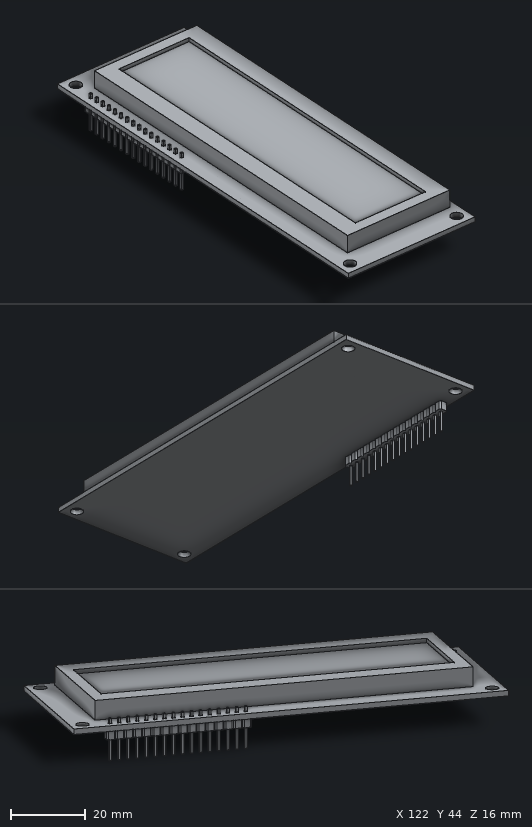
import cadquery as cq


OVERALL_HEIGHT = 16.0

BOARD_LENGTH = 122.0
BOARD_WIDTH = 44.0
BOARD_THICKNESS = 1.6
MOUNT_HOLE_DIAMETER = 3.5
MOUNT_HOLE_INSET = 3.5
PIN_HOLE_DIAMETER = 1.0

BEZEL_LENGTH = 106.0
BEZEL_WIDTH = 35.5
BEZEL_HEIGHT = 5.5
BEZEL_TOP_MARGIN = 2.2
WINDOW_LENGTH = 99.1
WINDOW_WIDTH = 24.3
WINDOW_DEPTH = 1.2

PIN_COUNT = 16
HEADER_LENGTH = 40.6
PIN_PITCH = HEADER_LENGTH / PIN_COUNT
BLOCK_GAP = 0.18
BLOCK_CHAMFER = 0.43
PIN_SIDE = 0.63
PIN_TOP = 1.5
PIN_TIP_CHAMFER = 0.18
FIRST_PIN_X = 11.0
PIN_ROW_Y = 2.6

BEZEL_CENTER = (
    BOARD_LENGTH / 2,
    BOARD_WIDTH - BEZEL_TOP_MARGIN - BEZEL_WIDTH / 2,
)
BLOCK_BOTTOM = -BOARD_THICKNESS - BLOCK_GAP - PIN_PITCH
PIN_BOTTOM = BEZEL_HEIGHT - OVERALL_HEIGHT
PIN_CENTERS = [(FIRST_PIN_X + i * PIN_PITCH, PIN_ROW_Y) for i in range(PIN_COUNT)]
MOUNT_HOLE_CENTERS = [
    (x, y)
    for x in (MOUNT_HOLE_INSET, BOARD_LENGTH - MOUNT_HOLE_INSET)
    for y in (MOUNT_HOLE_INSET, BOARD_WIDTH - MOUNT_HOLE_INSET)
]


def through_board(centers, diameter):
    """Cylinders that cut round holes through the board."""
    return (
        cq.Workplane("XY")
        .pushPoints(centers)
        .circle(diameter / 2)
        .extrude(-BOARD_THICKNESS)
    )


def make_display():
    """Board with the raised bezel, its window recess and all board holes."""
    board = cq.Workplane("XY").rect(BOARD_LENGTH, BOARD_WIDTH, centered=False).extrude(-BOARD_THICKNESS)
    bezel = (
        cq.Workplane("XY")
        .center(*BEZEL_CENTER)
        .rect(BEZEL_LENGTH, BEZEL_WIDTH)
        .extrude(BEZEL_HEIGHT)
    )
    window = (
        cq.Workplane("XY", origin=(*BEZEL_CENTER, BEZEL_HEIGHT))
        .rect(WINDOW_LENGTH, WINDOW_WIDTH)
        .extrude(-WINDOW_DEPTH)
    )
    return (
        board.union(bezel)
        .cut(window)
        .cut(through_board(MOUNT_HOLE_CENTERS, MOUNT_HOLE_DIAMETER))
        .cut(through_board(PIN_CENTERS, PIN_HOLE_DIAMETER))
    )


def make_block_and_pin(center):
    """Chamfered block under the board with its pin, tapered at both tips."""
    block = (
        cq.Workplane("XY", origin=(*center, BLOCK_BOTTOM))
        .rect(PIN_PITCH, PIN_PITCH)
        .extrude(PIN_PITCH)
        .edges("|Z")
        .chamfer(BLOCK_CHAMFER)
    )
    pin = (
        cq.Workplane("XY", origin=(*center, PIN_BOTTOM))
        .rect(PIN_SIDE, PIN_SIDE)
        .extrude(PIN_TOP - PIN_BOTTOM)
        .faces("<Z or >Z")
        .chamfer(PIN_TIP_CHAMFER)
    )
    return block.union(pin)


def make_header():
    """Strip of identical blocks joined side by side into one body."""
    header = make_block_and_pin(PIN_CENTERS[0])
    for center in PIN_CENTERS[1:]:
        header = header.union(make_block_and_pin(center))
    return header


display = make_display()
header = make_header()

result = cq.Compound.makeCompound([display.val(), header.val()])